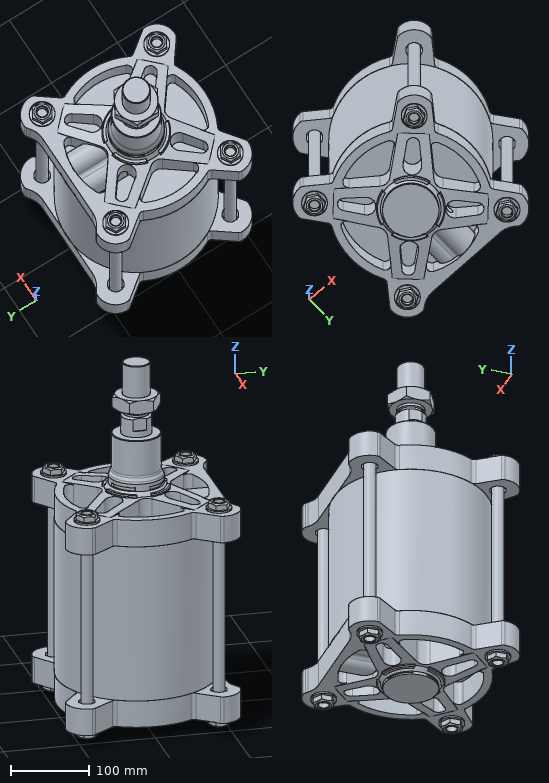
import cadquery as cq
import math


total_height = 478.0
hub_stub = 17.0
head_height = 36.5
upper_face_z = 300.5
nose_top_z = 381.5
lower_face_z = hub_stub
barrel_height = upper_face_z - lower_face_z - 2 * head_height

barrel_radius = 104.9
head_radius = 104.5
port_flat_y = 104.0
port_flat_half_width = 71.5
rod_offset = 87.0
tie_rod_reach = math.hypot(rod_offset, rod_offset)
lug_radius = 27.95
lug_root_reach = 71.5
lug_root_half_width = 31.5
lug_tip_reach = 140.5
lug_tip_half_width = math.sqrt(lug_radius**2 - (lug_tip_reach - tie_rod_reach) ** 2)
lug_root_fillet = 5.98
port_flat_fillet = 33.5
lug_tip_fillet = 7.0

arm_root_reach = 39.0
arm_root_half_width = 28.0
arm_tip_reach = 99.0
arm_tip_half_width = 20.0
arm_taper = (arm_root_half_width - arm_tip_half_width) / (arm_tip_reach - arm_root_reach)
spider_rise = 7.0
spider_hub_radius = 41.35
spider_edge_radius = 100.0
spider_core_radius = 55.5
pocket_radius = 93.0
pocket_apex_fillet = 14.5
pocket_corner_fillet = 7.0
pocket_depth = 33.5
slot_inner_reach = 57.0
slot_inner_radius = 12.0
slot_outer_reach = 85.0
slot_outer_radius = 8.35

channel_radius = 17.92
channel_start_y = 33.5
upper_channel_x = 12.2
upper_channel_drop = head_height / 2
lower_channel_x = -14.5
lower_channel_drop = 30.0
channel_blend = 6.5

hub_radius = 36.1
hub_neck_radius = 33.5
hub_cone_top = 13.0
ring_height = 10.0
ring_radius = 44.0
ring_chamfer = 1.5
ring_gap = 19.0
nose_undercut_top = 17.92
stub_undercut_top = 15.0
nose_radius = 32.0
shoulder_steps = [(hub_radius, 23.0), (35.15, 26.0), (32.75, 30.0), (nose_radius, 33.0)]
nose_chamfer = 1.0

tie_rod_diameter = 16.0
tie_rod_clearance = 21.0
washer_diameter = 33.0
washer_height = 2.5
tie_nut_height = 8.5
tie_nut_flats = 25.0
tie_nut_top_diameter = 21.0
tie_nut_bore = 14.0
tie_nut_bore_chamfer = 1.0
nut_chamfer_angle = 30
hex_corner_ratio = 2 / math.sqrt(3)

rod_radius = 20.0
thread_radius = 17.92
relief_radius = 16.5
rod_seat_z = upper_face_z - head_height
rod_shoulder_z = 405.5
relief_start_z = 407.5
relief_end_z = 410.5
thread_start_z = 412.0
rod_end_chamfer = 1.0
wrench_flat_x = 17.92
wrench_flat_z = 390.0
lock_nut_flats = 55.5
lock_nut_bottom_z = 416.0
lock_nut_height = 18.5

DIAGONALS = [45, 135, 225, 315]
TIE_POINTS = [(x, y) for x in (-rod_offset, rod_offset) for y in (-rod_offset, rod_offset)]


def cylinder(radius, height, z):
    return cq.Workplane("XY").workplane(offset=z).circle(radius).extrude(height)


def revolve_profile(points):
    """Solid of revolution about Z from (radius, z) points."""
    return cq.Workplane("XZ").polyline(points).close().revolve(360, (0, 0), (0, 1))


def hex_prism(across_flats, height, z):
    """Hexagonal prism with two corners on the Y axis."""
    outline = cq.Workplane("XY").workplane(offset=z).polygon(6, across_flats * hex_corner_ratio)
    return outline.extrude(height).rotate((0, 0, 0), (0, 0, 1), 90)


def corner_cone(across_flats, face_radius, height, z, both_ends):
    """Turned envelope that chamfers the corners of a hexagon at its upper end or at both ends."""
    corner = across_flats / 2 * hex_corner_ratio
    drop = (corner - face_radius) * math.tan(math.radians(nut_chamfer_angle))
    bottom = [(face_radius, z), (corner, z + drop)] if both_ends else [(corner, z)]
    top = [(corner, z + height - drop), (face_radius, z + height)]
    return revolve_profile([(0, z), *bottom, *top, (0, z + height)])


def on_diagonals(shape):
    """Union of four copies of a shape, turned from +X onto the diagonals."""
    copies = [shape.rotate((0, 0, 0), (0, 0, 1), angle) for angle in DIAGONALS]
    return copies[0].union(copies[1]).union(copies[2]).union(copies[3])


def lug():
    """Tapered lug along +X with a round end about the tie rod."""
    return (
        cq.Workplane("XY")
        .moveTo(lug_root_reach, -lug_root_half_width)
        .lineTo(lug_tip_reach, -lug_tip_half_width)
        .threePointArc((tie_rod_reach + lug_radius, 0), (lug_tip_reach, lug_tip_half_width))
        .lineTo(lug_root_reach, lug_root_half_width)
        .close()
        .extrude(-head_height)
    )


def fillet_upright_edges(shape, inner_reach, outer_reach, radius):
    """Fillet the Z edges of a head between two distances from its axis, except the disc seam."""

    def is_wanted(edge):
        center = edge.Center()
        reach = math.hypot(center.x, center.y)
        return inner_reach < reach < outer_reach and abs(center.y) > lug_root_half_width

    return shape.newObject(shape.edges("|Z").filter(is_wanted).vals()).fillet(radius)


def bar(half_width, start_y, end_y):
    """Bar across the head, as thick as the head, between two Y positions."""
    outline = cq.Workplane("XY").center(0, (start_y + end_y) / 2).rect(2 * half_width, end_y - start_y)
    return outline.extrude(-head_height)


def head_blank():
    """Disc with a flat port side and four lugs."""
    disc = cylinder(head_radius, -head_height, 0).cut(bar(head_radius, port_flat_y, head_radius + 5))
    flat_bar = bar(port_flat_half_width, rod_offset, port_flat_y)
    blank = disc.union(flat_bar).union(on_diagonals(lug()))
    flat_root_reach = head_radius + 9.5
    blank = fillet_upright_edges(blank, 0, flat_root_reach, lug_root_fillet)
    blank = fillet_upright_edges(blank, flat_root_reach, tie_rod_reach + 5, port_flat_fillet)
    return fillet_upright_edges(blank, tie_rod_reach + 5, tie_rod_reach + lug_radius, lug_tip_fillet)


def arms(height):
    """Plan shape of the four arms, each a strip along a diagonal that narrows outwards."""
    strip = (
        cq.Workplane("XY")
        .moveTo(arm_root_reach, -arm_root_half_width)
        .lineTo(arm_tip_reach, -arm_tip_half_width)
        .lineTo(arm_tip_reach, arm_tip_half_width)
        .lineTo(arm_root_reach, arm_root_half_width)
        .close()
        .extrude(height)
    )
    return on_diagonals(strip)


def spider():
    """Shallow cone over the arms and the hub."""
    cone = revolve_profile(
        [(0, 0), (spider_edge_radius, 0), (spider_hub_radius, spider_rise), (0, spider_rise)]
    )
    return cone.intersect(arms(spider_rise).union(cylinder(spider_core_radius, spider_rise, 0)))


def arm_edge_point(reach):
    """Point on the edge of the 45 degree arm that borders the +Y pocket."""
    half_width = arm_root_half_width - arm_taper * (reach - arm_root_reach)
    return (reach - half_width) / math.sqrt(2), (reach + half_width) / math.sqrt(2)


def pocket():
    """Pocket towards +Y between two arms."""
    apex_reach = (arm_root_half_width + arm_taper * arm_root_reach) / (1 + arm_taper)
    apex = arm_edge_point(apex_reach)
    right = arm_edge_point(arm_tip_reach)
    wedge = (
        cq.Workplane("XY")
        .workplane(offset=-pocket_depth)
        .polyline([apex, right, (0, 2 * pocket_radius), (-right[0], right[1])])
        .close()
        .extrude(pocket_depth + spider_rise)
    )
    outline = wedge.intersect(cylinder(pocket_radius, pocket_depth + spider_rise, -pocket_depth))
    apex_edge = cq.selectors.NearestToPointSelector((apex[0], apex[1], -pocket_depth / 2))
    outline = outline.edges(apex_edge).fillet(pocket_apex_fillet)
    return outline.edges("|Z").edges(">X or <X").fillet(pocket_corner_fillet)


def arm_slot():
    """Tapered slot along +X, bounded by two arcs and their common tangents."""
    lean = math.asin((slot_inner_radius - slot_outer_radius) / (slot_outer_reach - slot_inner_reach))

    def tangent_point(reach, radius, side):
        return reach + radius * math.sin(lean), side * radius * math.cos(lean)

    return (
        cq.Workplane("XY")
        .workplane(offset=-pocket_depth)
        .moveTo(*tangent_point(slot_inner_reach, slot_inner_radius, -1))
        .lineTo(*tangent_point(slot_outer_reach, slot_outer_radius, -1))
        .threePointArc(
            (slot_outer_reach + slot_outer_radius, 0),
            tangent_point(slot_outer_reach, slot_outer_radius, 1),
        )
        .lineTo(*tangent_point(slot_inner_reach, slot_inner_radius, 1))
        .threePointArc(
            (slot_inner_reach - slot_inner_radius, 0),
            tangent_point(slot_inner_reach, slot_inner_radius, -1),
        )
        .close()
        .extrude(pocket_depth + spider_rise)
    )


def port_channel(x, drop):
    """Round channel wall along Y, its axis at a given drop below the head face."""
    length = port_flat_y - channel_start_y
    return cq.Workplane("XZ", origin=(x, channel_start_y, -drop)).circle(channel_radius).extrude(-length)


def port_channels():
    """Both channel walls, blended where they meet and cut off at the inner face of the head."""
    pair = port_channel(upper_channel_x, upper_channel_drop)
    pair = pair.union(port_channel(lower_channel_x, lower_channel_drop))
    valley_x = (upper_channel_x + lower_channel_x) / 2
    valley = cq.selectors.NearestToPointSelector((valley_x, (channel_start_y + port_flat_y) / 2, 0))
    pair = pair.edges("|Y").edges(valley).fillet(channel_blend)
    return pair.intersect(cylinder(2 * barrel_radius, -head_height, 0))


def hub(undercut_top, height):
    """Hub with a conical foot, and ring segments around an undercut in front of each arm."""
    core = revolve_profile(
        [
            (0, 0),
            (spider_hub_radius, 0),
            (spider_hub_radius, spider_rise),
            (hub_radius, hub_cone_top),
            (hub_radius, height),
            (0, height),
        ]
    )
    ring = cylinder(ring_radius, ring_height, 0).faces(">Z").edges().chamfer(ring_chamfer)
    undercut = cylinder(ring_radius, undercut_top - hub_cone_top, hub_cone_top)
    undercut = undercut.cut(cylinder(hub_neck_radius, undercut_top - hub_cone_top, hub_cone_top))
    gaps = cq.Workplane("XY").rect(ring_gap, 4 * ring_radius).extrude(height)
    gaps = gaps.union(cq.Workplane("XY").rect(4 * ring_radius, ring_gap).extrude(height))
    return core.cut(undercut.cut(gaps)).union(ring.cut(gaps))


def plain_head():
    """Head with its arms, pockets, port channels and tie rod holes, but without a hub."""
    body = head_blank().union(spider())
    for quarter in range(4):
        body = body.cut(pocket().rotate((0, 0, 0), (0, 0, 1), quarter * 90))
    body = body.cut(on_diagonals(arm_slot())).union(port_channels())
    holes = cq.Workplane("XY").pushPoints(TIE_POINTS).circle(tie_rod_clearance / 2).extrude(-head_height)
    return body.cut(holes)


def nose():
    """Smooth nose above the upper hub, with its shoulder."""
    return revolve_profile(
        [
            (0, upper_face_z),
            (hub_neck_radius, upper_face_z),
            (hub_neck_radius, upper_face_z + nose_undercut_top),
            (hub_radius, upper_face_z + nose_undercut_top),
            *[(radius, upper_face_z + height) for radius, height in shoulder_steps],
            (nose_radius, nose_top_z - nose_chamfer),
            (nose_radius - nose_chamfer, nose_top_z),
            (0, nose_top_z),
        ]
    )


def tie_nut():
    """Washer and nut on a tie rod, with an open bore above the rod end."""
    washer = cylinder(washer_diameter / 2, washer_height, 0)
    nut = hex_prism(tie_nut_flats, tie_nut_height, washer_height)
    envelope = corner_cone(
        tie_nut_flats, tie_nut_top_diameter / 2, tie_nut_height, washer_height, both_ends=False
    )
    bore = cylinder(tie_nut_bore / 2, tie_nut_height, washer_height)
    nut = nut.intersect(envelope).cut(bore)
    bore_edge = cq.selectors.RadiusNthSelector(0)
    nut = nut.faces(">Z").edges("%CIRCLE").edges(bore_edge).chamfer(tie_nut_bore_chamfer)
    return washer.union(nut)


def tie_rod():
    """Tie rod with a washer and nut on both heads."""
    rod = cylinder(tie_rod_diameter / 2, upper_face_z - lower_face_z, lower_face_z)
    upper_nut = tie_nut().translate((0, 0, upper_face_z))
    lower_nut = tie_nut().mirror("XY").translate((0, 0, lower_face_z))
    return rod.union(upper_nut).union(lower_nut)


def make_cylinder_body():
    """Barrel, heads, nose and tie rods as one solid, with a blind bore for the piston rod."""
    body = cylinder(barrel_radius, barrel_height, lower_face_z + head_height)
    head = plain_head()
    upper_head = head.union(hub(nose_undercut_top, nose_undercut_top)).translate((0, 0, upper_face_z))
    lower_head = head.union(hub(stub_undercut_top, hub_stub)).mirror("XY").translate((0, 0, lower_face_z))
    body = body.union(upper_head).union(lower_head).union(nose())
    for x, y in TIE_POINTS:
        body = body.union(tie_rod().translate((x, y, 0)))
    return body.cut(cylinder(rod_radius, nose_top_z - rod_seat_z, rod_seat_z))


def make_piston_rod():
    """Rod with two wrench flats, a thread relief and a threaded end of plain diameter."""
    rod = revolve_profile(
        [
            (0, rod_seat_z),
            (rod_radius, rod_seat_z),
            (rod_radius, rod_shoulder_z),
            (relief_radius, relief_start_z),
            (relief_radius, relief_end_z),
            (thread_radius, thread_start_z),
            (thread_radius, total_height - rod_end_chamfer),
            (thread_radius - rod_end_chamfer, total_height),
            (0, total_height),
        ]
    )
    below_flats = cylinder(rod_radius, wrench_flat_z - rod_seat_z, rod_seat_z)
    between_flats = (
        cq.Workplane("XY")
        .workplane(offset=wrench_flat_z)
        .rect(2 * wrench_flat_x, 2 * rod_radius)
        .extrude(total_height - wrench_flat_z)
    )
    return rod.intersect(below_flats.union(between_flats))


def make_lock_nut():
    """Hexagonal nut on the rod thread, chamfered at both ends."""
    nut = hex_prism(lock_nut_flats, lock_nut_height, lock_nut_bottom_z)
    envelope = corner_cone(
        lock_nut_flats, lock_nut_flats / 2, lock_nut_height, lock_nut_bottom_z, both_ends=True
    )
    return nut.intersect(envelope).cut(cylinder(thread_radius, lock_nut_height, lock_nut_bottom_z))


cylinder_body = make_cylinder_body()
piston_rod = make_piston_rod()
lock_nut = make_lock_nut()
result = cq.Compound.makeCompound([cylinder_body.val(), piston_rod.val(), lock_nut.val()])